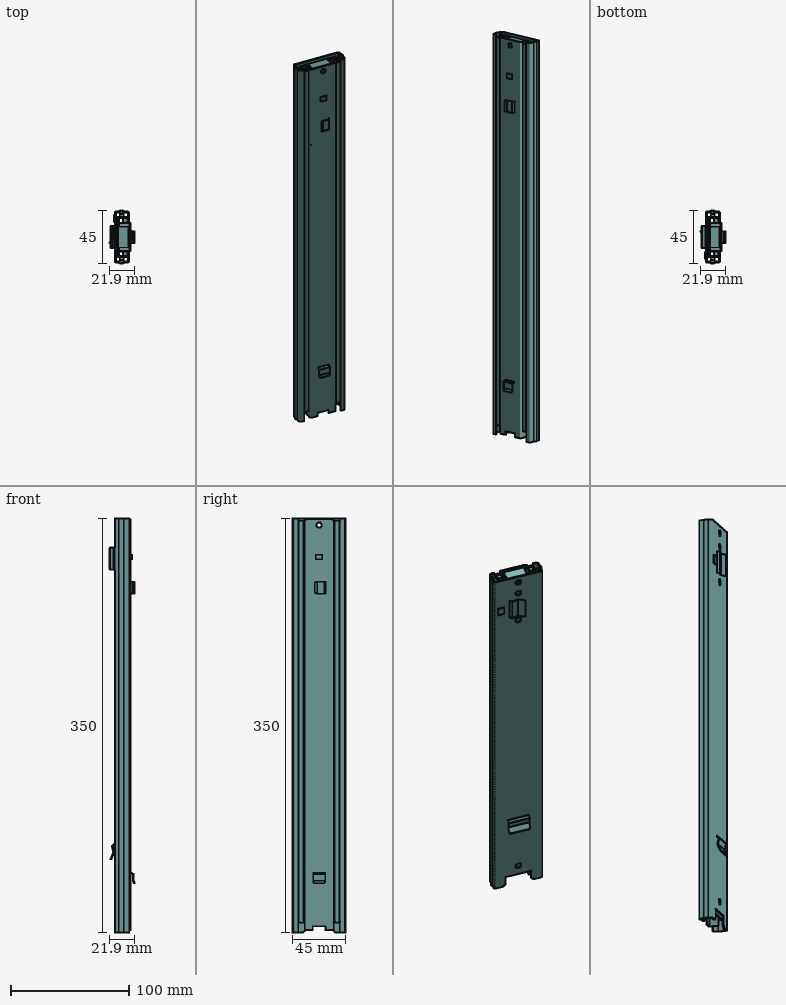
import cadquery as cq


length = 350.0
overall_depth = 21.7
overall_width = 45.0
sheet = 1.22

outer_depth = 12.2
outer_back = -outer_depth / 2
bulge_height = 0.7
bulge_start = -2.62
bulge_end = 1.58
web_bend = 1.5
lip_bend = 2.28
lip_end = 17.5
end_notch_half_width = 11.5
end_notch_height = 10.0
end_notch_flare = 2.0

middle_back = -3.5
middle_depth = 9.5
middle_half_width = 17.0
middle_lip_end = 13.3
middle_bottom = -166.5
middle_top = 173.2
end_tab_half_width = 9.0
end_tab_reach = 7.7

inner_front = 7.5
inner_depth = 8.8
inner_half_width = 12.2
inner_bend = 1.5
inner_bottom = -173.0
inner_top = 174.3
inner_notch_half_width = 5.2
inner_notch_height = 3.0

strip_bottom = -166.0
strip_top = 172.5
outer_strip_start = -2.0
outer_strip_width = 3.5
outer_strip_height = 2.5
inner_strip_start = 0.7
inner_strip_width = 4.0

hole_diameter = 5.2
inner_hole_diameter = 4.2
through_hole_z = 168.7
inner_hole_z = 169.5
web_hole_heights = (156.5, 125.5, -155.5)

hook_sheet = 0.88
large_hook_width = 19.0
large_hook_length = 13.3
small_hook_width = 10.0
small_hook_length = 9.0
hook_lift = 2.62
large_lip_length = 2.0
dip_distance = 7.7
dip_rise = 1.5
upper_tip_rise = overall_depth / 2 + outer_back
lower_tip_rise = 4.0
small_lip_length = 1.5
small_flat_end = 7.0
small_tip_rise = 3.5
hook_corner = 1.0
outer_upper_hook_y = 8.5
outer_upper_hook_z = 141.0
outer_lower_hook_z = -99.8
inner_upper_hook_y = 5.5
inner_upper_hook_z = 116.5
inner_lower_hook_z = -124.2

boss_top = 144.5
boss_height = 1.0
outer_boss_start = 13.0
outer_boss_end = 18.5
outer_boss_length = 7.0
inner_boss_half_width = 2.8
inner_boss_length = 4.2

LEFT = (-1, 0, 0)
RIGHT = (1, 0, 0)
TOWARD_FRONT = (0, -1, 0)
DOWN = (0, 0, -1)

web_inset = sheet / 2
outer_flat = overall_width / 2 - bulge_height
outer_front = outer_back + outer_depth
half_length = length / 2


def box(x_range, y_range, z_range):
    """Rectangular block given by its limits along each axis."""
    limits = (x_range, y_range, z_range)
    sizes = [high - low for low, high in limits]
    corner = tuple(low for low, high in limits)
    return cq.Workplane("XY").box(*sizes, centered=False).translate(corner)


def web_hole(height, diameter):
    """Cylinder along X that pierces a web at the given height."""
    return cq.Workplane("YZ").center(0, height).circle(diameter / 2).extrude(outer_depth, both=True)


def hook(origin, along, outward, path, width):
    """Bent sheet tongue: path lists (distance along the web, rise of the outer face)."""
    along_axis = cq.Vector(*along)
    outward_axis = cq.Vector(*outward)
    plane = cq.Plane(origin, along_axis, along_axis.cross(outward_axis))
    underside = [(distance, rise - hook_sheet) for distance, rise in reversed(path)]
    tongue = cq.Workplane(plane).polyline(path + underside).close().extrude(width / 2, both=True)
    tip = cq.selectors.DirectionMinMaxSelector(along_axis, True)
    return tongue.faces(tip).edges("|X").chamfer(hook_corner)


def large_hook_path(tip_rise):
    """Lip, dip back to the web and flared tip."""
    return [(0, 0), (large_lip_length, hook_lift), (dip_distance, dip_rise), (large_hook_length, tip_rise)]


def small_hook_path():
    """Lip, raised flat and slightly flared tip."""
    return [
        (0, 0),
        (small_lip_length, hook_lift),
        (small_flat_end, hook_lift),
        (small_hook_length, small_tip_rise),
    ]


def flange_bulge(side, surface, height):
    """Shallow arched ridge along one flange, rising from the given surface."""
    middle_x = (bulge_start + bulge_end) / 2
    return (
        cq.Workplane("XY", origin=(0, 0, -half_length))
        .moveTo(bulge_start, side * surface)
        .threePointArc((middle_x, side * (surface + height)), (bulge_end, side * surface))
        .close()
        .extrude(length)
    )


def make_outer_member():
    lengthwise = (-half_length, half_length)
    inside = outer_flat - sheet
    body = box((outer_back, outer_front), (-outer_flat, outer_flat), lengthwise)
    body = body.edges("|Z and <X").fillet(web_bend).edges("|Z and >X").fillet(lip_bend)
    cavity = box((outer_back + sheet, outer_front - sheet), (-inside, inside), lengthwise)
    body = body.cut(cavity.edges("|Z and >X").fillet(lip_bend - sheet))
    body = body.cut(box((outer_front - sheet, outer_front), (-lip_end, lip_end), lengthwise))
    for side in (-1, 1):
        body = body.union(flange_bulge(side, outer_flat, bulge_height))
        body = body.cut(flange_bulge(side, inside, bulge_height))

    flare_half_width = end_notch_half_width + end_notch_flare
    notch = (
        cq.Workplane("YZ", origin=(outer_back, 0, -half_length))
        .moveTo(-flare_half_width, 0)
        .lineTo(-end_notch_half_width, end_notch_flare)
        .lineTo(-end_notch_half_width, end_notch_height)
        .lineTo(end_notch_half_width, end_notch_height)
        .lineTo(end_notch_half_width, end_notch_flare)
        .lineTo(flare_half_width, 0)
        .close()
        .extrude(sheet)
    )
    body = body.cut(notch)
    for height in (through_hole_z, *web_hole_heights):
        body = body.cut(web_hole(height, hole_diameter))

    upper_root = (outer_back, outer_upper_hook_y, outer_upper_hook_z)
    lower_root = (outer_back, 0, outer_lower_hook_z)
    upper_hook = hook(upper_root, TOWARD_FRONT, LEFT, large_hook_path(upper_tip_rise), large_hook_width)
    lower_hook = hook(lower_root, DOWN, LEFT, large_hook_path(lower_tip_rise), large_hook_width)
    boss = box(
        (outer_back - boss_height, outer_back + web_inset),
        (outer_boss_start, outer_boss_end),
        (boss_top - outer_boss_length, boss_top),
    )
    return body.union(upper_hook).union(lower_hook).union(boss)


def make_middle_member():
    lengthwise = (middle_bottom, middle_top)
    inside_x = middle_back + sheet
    inside_y = middle_half_width - sheet
    front = middle_back + middle_depth
    body = box((middle_back, front), (-middle_half_width, middle_half_width), lengthwise)
    body = body.cut(box((inside_x, front - sheet), (-inside_y, inside_y), lengthwise))
    body = body.cut(box((front - sheet, front), (-middle_lip_end, middle_lip_end), lengthwise))
    end_tab = box(
        (inside_x, inside_x + end_tab_reach),
        (-end_tab_half_width, end_tab_half_width),
        (middle_top - sheet, middle_top),
    )
    return body.union(end_tab).cut(web_hole(inner_hole_z, inner_hole_diameter))


def make_inner_member():
    lengthwise = (inner_bottom, inner_top)
    back = inner_front - inner_depth
    inside_x = inner_front - sheet
    inside_y = inner_half_width - sheet
    body = box((back, inner_front), (-inner_half_width, inner_half_width), lengthwise)
    body = body.edges("|Z and >X").fillet(inner_bend)
    body = body.cut(box((back, inside_x), (-inside_y, inside_y), lengthwise))
    notch = box(
        (inside_x, inner_front),
        (-inner_notch_half_width, inner_notch_half_width),
        (inner_bottom, inner_bottom + inner_notch_height),
    )
    body = body.cut(notch).cut(web_hole(inner_hole_z, inner_hole_diameter))

    upper_root = (inner_front, inner_upper_hook_y, inner_upper_hook_z)
    lower_root = (inner_front, 0, inner_lower_hook_z)
    upper_hook = hook(upper_root, TOWARD_FRONT, RIGHT, small_hook_path(), small_hook_width)
    lower_hook = hook(lower_root, DOWN, RIGHT, small_hook_path(), small_hook_width)
    boss = box(
        (inner_front - web_inset, inner_front + boss_height),
        (-inner_boss_half_width, inner_boss_half_width),
        (boss_top - inner_boss_length, boss_top),
    )
    return body.union(upper_hook).union(lower_hook).union(boss)


def make_bearing_strip(side, start_x, width, near_y, far_y):
    """Bar seated against a flange on the given Y side."""
    y_range = sorted((side * near_y, side * far_y))
    return box((start_x, start_x + width), y_range, (strip_bottom, strip_top))


outer_member = make_outer_member()
middle_member = make_middle_member()
inner_member = make_inner_member()

outer_strip_reach = middle_half_width + outer_strip_height
inner_strip_reach = middle_half_width - sheet
outer_strips = []
inner_strips = []
for side in (-1, 1):
    outer_strip = make_bearing_strip(
        side, outer_strip_start, outer_strip_width, middle_half_width, outer_strip_reach
    )
    inner_strip = make_bearing_strip(
        side, inner_strip_start, inner_strip_width, inner_half_width, inner_strip_reach
    )
    outer_strips.append(outer_strip.val())
    inner_strips.append(inner_strip.val())

result = cq.Compound.makeCompound(
    [outer_member.val(), middle_member.val(), inner_member.val(), *outer_strips, *inner_strips]
)